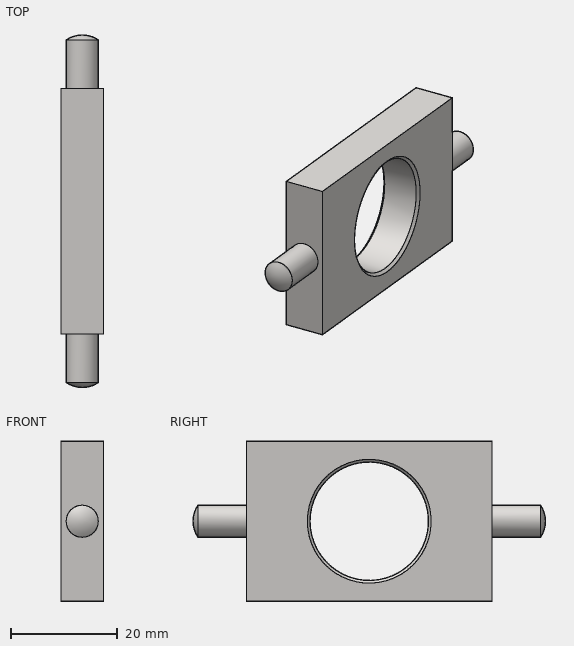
import cadquery as cq

block_thickness = 8.0
block_length = 46.0
block_height = 30.0
bore_diameter = 22.1
bore_chamfer = 0.5

overall_length = 66.0
pin_radius = 6.0 / 2
dome_height = 0.9


def make_block():
    """Block centred on the origin, its bore chamfered at both mouths."""
    block = cq.Workplane("XY").box(block_thickness, block_length, block_height)
    bored = block.faces(">X").workplane().hole(bore_diameter)
    return bored.faces("<X or >X").edges("%CIRCLE").chamfer(bore_chamfer)


def make_pin(direction):
    """Domed pin on the Y axis, pointing towards +Y (1) or -Y (-1)."""
    root = direction * block_length / 2
    tip = direction * overall_length / 2
    shoulder = tip - direction * dome_height
    dome_radius = (pin_radius**2 + dome_height**2) / (2 * dome_height)
    half_radius = pin_radius / 2
    half_drop = dome_radius - (dome_radius**2 - half_radius**2) ** 0.5
    profile = (
        cq.Workplane("XY")
        .moveTo(0, root)
        .lineTo(pin_radius, root)
        .lineTo(pin_radius, shoulder)
        .threePointArc((half_radius, tip - direction * half_drop), (0, tip))
        .close()
    )
    return profile.revolve(360, (0, 0, 0), (0, 1, 0))


result = make_block()
for side in (-1, 1):
    result = result.union(make_pin(side))